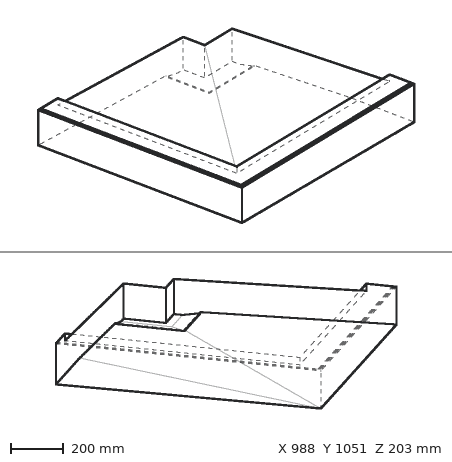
import cadquery as cq

length_x = 988.0
length_y = 1051.0
height = 203.0

rim_width = 120.0
rim_step = 29.0
top_low = 61.0

notch_x = 104.0
notch_y = length_y - (length_x - notch_x)

edge_height = 152.0
slope_end = 778.0
slope_end_depth = 184.0
ramp_depth = 188.0
pad_start = 849.0
rear_edge_depth = 165.0

groove_offset = 8.0
groove_width = 7.0
groove_depth = 3.0


def prism_across_x(profile):
    """Extrude a profile of (distance from the front face, z) across the full X length."""
    return cq.Workplane("YZ").polyline(profile).close().extrude(length_x)


def prism_across_y(profile):
    """Extrude a profile of (distance from the +X face, z) across the full Y length."""
    points = [(length_x - distance, z) for distance, z in profile]
    return cq.Workplane("XZ").polyline(points).close().extrude(-length_y)


def mitred(profile):
    """Sweep a profile along both rim sides and keep what the two prisms share."""
    return prism_across_x(profile).intersect(prism_across_y(profile))


def corner_block(offset, depth):
    """Block set back by the offset from both outer faces, running out at the other two."""
    return cq.Workplane("XY").box(
        length_x - offset, length_y - offset, depth, centered=False
    ).translate((0, offset, -depth))


body = mitred([
    (0, 0),
    (0, -edge_height),
    (slope_end, -slope_end_depth),
    (slope_end, -ramp_depth),
    (pad_start, -height),
    (length_y, -height),
    (length_y, 0),
])

body = body.union(prism_across_x([
    (0, 0),
    (0, -edge_height),
    (length_y, -rear_edge_depth),
    (length_y, 0),
]))

valley_end = length_x - notch_x
body = body.cut(mitred([
    (rim_width, 0),
    (rim_width, -rim_step),
    (valley_end, -top_low),
    (length_y, -top_low),
    (length_y, 0),
]))

groove = corner_block(groove_offset, groove_depth).cut(
    corner_block(groove_offset + groove_width, groove_depth)
)
body = body.cut(groove)

notch = cq.Workplane("XY").box(notch_x, notch_y, height, centered=False)
result = body.cut(notch.translate((0, length_y - notch_y, -height)))